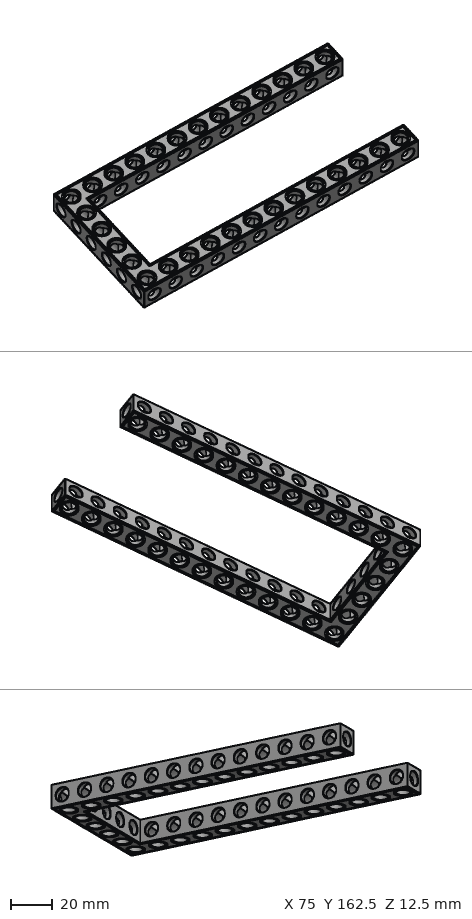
import cadquery as cq

PITCH = 12.5
COLUMNS = 6
ROWS = 13
HOLE_DIAMETER = 7.0
CHAMFER = 0.3
RIM_WIDTH = 0.8
PANEL_DEPTH = 0.2

LENGTH_X = COLUMNS * PITCH
LENGTH_Y = ROWS * PITCH
HOLE_RADIUS = HOLE_DIAMETER / 2
RIM_RADIUS = HOLE_RADIUS + CHAMFER + RIM_WIDTH
PANEL_INSET = CHAMFER + RIM_WIDTH


def cell_centre(index):
    """Middle of a grid cell, with the outer corner of the frame at the origin."""
    return (index + 0.5) * PITCH


LAST_COLUMN = cell_centre(COLUMNS - 1)
BASE_HOLES = [(cell_centre(column), cell_centre(0)) for column in range(COLUMNS)]
LEG_HOLES = [(x, cell_centre(row)) for row in range(1, ROWS) for x in (cell_centre(0), LAST_COLUMN)]
VERTICAL_HOLES = BASE_HOLES + LEG_HOLES


def u_prism(inset, bottom, height):
    """U with its base along X and legs toward +Y, its outline shrunk by the inset."""
    left, right = inset, LENGTH_X - inset
    near, far = inset, LENGTH_Y - inset
    leg_width = PITCH - inset
    points = [
        (left, near),
        (right, near),
        (right, far),
        (LENGTH_X - leg_width, far),
        (LENGTH_X - leg_width, leg_width),
        (leg_width, leg_width),
        (leg_width, far),
        (left, far),
    ]
    return cq.Workplane("XY").workplane(offset=bottom).polyline(points).close().extrude(height)


def frame():
    """Solid frame with every edge chamfered except the two inner corners of the U."""
    body = u_prism(0, 0, PITCH)
    inner_corners = cq.selectors.BoxSelector(
        (PITCH / 2, PITCH / 2, PITCH / 4), (LENGTH_X - PITCH / 2, PITCH * 3 / 2, PITCH * 3 / 4)
    )
    every_edge = cq.selectors.Selector()
    return body.edges(cq.selectors.SubtractSelector(every_edge, inner_corners)).chamfer(CHAMFER)


def recessed_panel(bottom):
    """Shallow cutter inside the edge rims that leaves a round rim at each hole."""
    rims = cq.Workplane("XY").workplane(offset=bottom).pushPoints(VERTICAL_HOLES)
    return u_prism(PANEL_INSET, bottom, PANEL_DEPTH).cut(rims.circle(RIM_RADIUS).extrude(PANEL_DEPTH))


def hole_cutter(length):
    """Cutter for a through hole along +Z from the origin, chamfered at both mouths."""
    mouth_radius = HOLE_RADIUS + CHAMFER
    profile = [
        (0, 0),
        (mouth_radius, 0),
        (HOLE_RADIUS, CHAMFER),
        (HOLE_RADIUS, length - CHAMFER),
        (mouth_radius, length),
        (0, length),
    ]
    return cq.Workplane("XZ").polyline(profile).close().revolve(360, (0, 0), (0, 1)).val()


def all_holes():
    """Cross holes through every cell, plus one long bore down the base and each leg."""
    origin = (0, 0, 0)
    mid_height = PITCH / 2
    across_beam = hole_cutter(PITCH)
    along_base = hole_cutter(LENGTH_X).rotate(origin, (0, 1, 0), 90)
    along_leg = hole_cutter(LENGTH_Y).rotate(origin, (1, 0, 0), -90)
    along_x = across_beam.rotate(origin, (0, 1, 0), 90)
    along_y = across_beam.rotate(origin, (1, 0, 0), -90)

    cutters = [across_beam.translate((x, y, 0)) for x, y in VERTICAL_HOLES]
    for x, y in LEG_HOLES:
        cutters.append(along_x.translate((x - PITCH / 2, y, mid_height)))
    for x, y in BASE_HOLES[1:-1]:
        cutters.append(along_y.translate((x, y - PITCH / 2, mid_height)))
    cutters.append(along_base.translate((0, cell_centre(0), mid_height)))
    cutters.append(along_leg.translate((cell_centre(0), 0, mid_height)))
    cutters.append(along_leg.translate((LAST_COLUMN, 0, mid_height)))
    return cutters


panelled = frame().cut(recessed_panel(0)).cut(recessed_panel(PITCH - PANEL_DEPTH))
result = panelled.newObject([panelled.val().cut(*all_holes())])